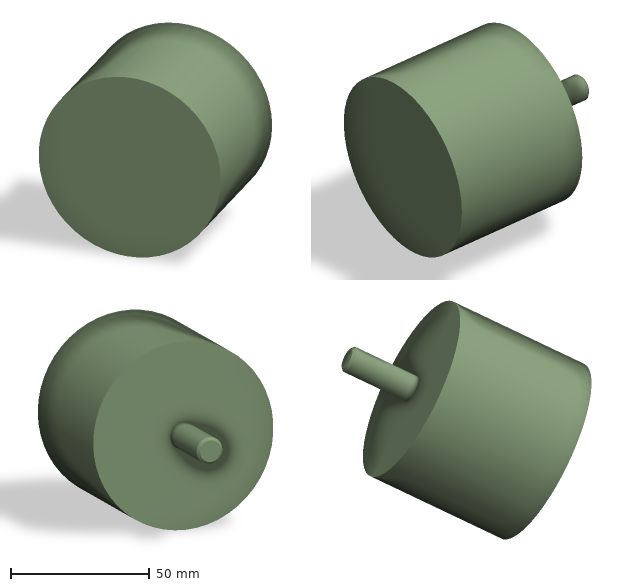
import cadquery as cq

overall_length = 82.0
body_diameter = 70.0
body_length = 55.0
stud_diameter = 10.0
stud_chamfer = 1.0

stud_length = overall_length - body_length


def cylinder_along_y(diameter, start_y, length):
    """Cylinder centred on the Y axis, running from start_y toward +Y."""
    return cq.Workplane("XZ", origin=(0, start_y, 0)).circle(diameter / 2).extrude(-length)


def make_body():
    """Plain cylindrical buffer body with its free face at Y = 0."""
    return cylinder_along_y(body_diameter, 0, body_length)


def make_stud():
    """Stud standing on the back face of the body, chamfered at its free end."""
    stud = cylinder_along_y(stud_diameter, body_length, stud_length)
    return stud.faces(">Y").chamfer(stud_chamfer)


body = make_body()
stud = make_stud()

result = cq.Compound.makeCompound([body.val(), stud.val()])